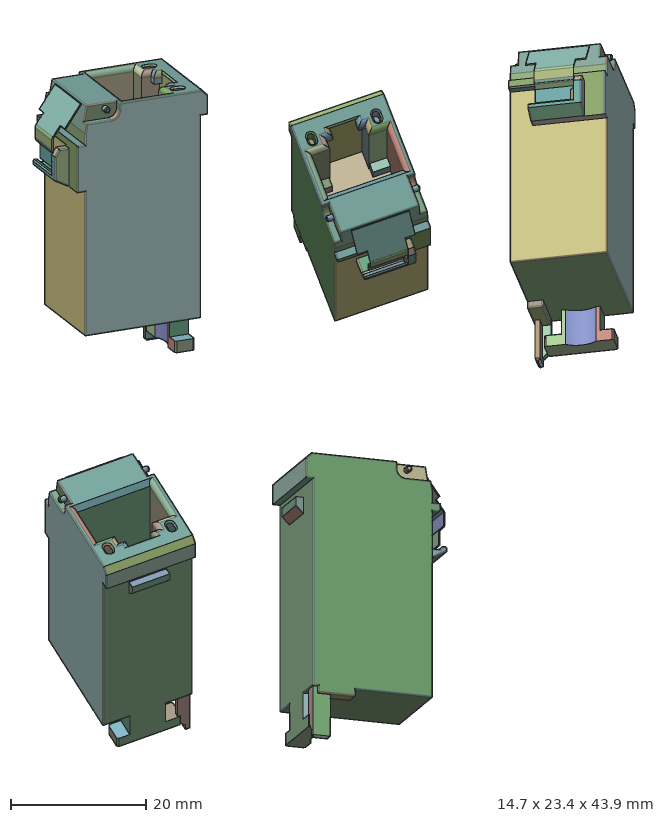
import cadquery as cq
import math


width = 14.7
half_width = width / 2
depth = 18.8
height = 35.95
edge_round = 0.18
tolerance = 0.05
overlap = 0.2
overrun = 0.45

lip_reach = 1.15
lip_height = 4.0
lip_chamfer = 0.95
catch_width = 6.15
catch_top = 30.25
catch_side = 1.35

slope_setback = 0.7
slope_height = 4.0

plug_half_width = 5.95
plug_front = 7.0
plug_back = 13.85
key_half_width = 3.05
key_back = 15.45
inner_key_half_width = 2.0
inner_key_back = 16.75
inner_key_rim = 0.25
inner_key_height = 1.75
mouth_round = 0.85
mouth_slope = 0.8
plug_depth = 15.35
shelf_depth = 13.15
shelf_reach = 1.45
shelf_inner_x = 3.2

slot_x = 5.15
slot_y = 16.05
slot_width = 1.0
slot_length = 1.8
slot_chamfer = 0.25
slot_depth = 2.65

recess_wall_x = 6.25
recess_back = 5.6
recess_floor = 33.5
recess_corner = 1.4
pin_y = 3.7
pin_z = 35.1
pin_diameter = 0.9
pin_chamfer = 0.18

ledge_top = 30.18
ledge_bottom = 28.85
ledge_reach = 1.25
ledge_edge = 0.2
block_bottom = 22.8

latch_reach = 3.45
bracket_left = -3.95
bracket_right = 4.2
bracket_edge = 0.2
bar_top = 24.15
bar_lip_top = 24.7
bar_lip_depth = 0.65
bar_slope_start = 1.35
bar_slope_top = 23.95
post_left = 3.0
post_slope_bottom = 27.75
post_slope_depth = 0.7
tab_reach = 0.55
tab_bottom = bar_lip_top
tab_top = 26.6

clip_thickness = 0.25
clip_start = 35.7
clip_start_y = 0.5
clip_wide_half = 4.55
clip_narrow_half = 3.0
clip_shoulder = 32.15
clip_bend = 30.25
clip_fold_top = 28.1
clip_fold = 0.8
clip_bend_round = 0.88
clip_end = 25.1

foot_width = 2.4
foot_front = 12.1
foot_back = 18.0
foot_height = 1.1
foot_edge = 0.2
leg_left = -6.97
leg_right = -6.25
leg_front = 15.95
leg_back = 18.7
leg_length = 7.9
leg_point = 0.35
flange_right = -4.95
flange_thickness = 0.8
flange_length = 6.55
tongue_front = 15.7
tongue_half_width = 2.95
tongue_length = 5.88
crossbar_left = -5.53
crossbar_right = 5.0
crossbar_height = 1.85
crossbar_edge = 0.25
groove_half_width = 2.32
groove_depth = 0.7


def box(x, y, z):
    """Box between the given (low, high) pairs on each axis."""
    size = [high - low for low, high in (x, y, z)]
    return cq.Workplane("XY").box(*size, centered=False).translate((x[0], y[0], z[0]))


def prism(profile, x_low, x_high):
    """Extrude a (Y, Z) profile along X."""
    return cq.Workplane("YZ", origin=(x_low, 0, 0)).polyline(profile).close().extrude(x_high - x_low)


def both_sides(shape):
    return shape.union(shape.mirror("YZ"))


def recess_cutter():
    cutter = box(
        (recess_wall_x, half_width + overrun),
        (-overrun, recess_back),
        (recess_floor, height + overrun),
    )
    return cutter.edges("|X and >Y and <Z").fillet(recess_corner)


def recess_rim(side, y_range, z_range):
    """Select recess edges off the outer side face whose centres lie in the given ranges."""
    low = (side * (recess_wall_x - tolerance), y_range[0] - tolerance, z_range[0] - tolerance)
    high = (side * (half_width - tolerance), y_range[1] + tolerance, z_range[1] + tolerance)
    return cq.selectors.BoxSelector(low, high)


def housing():
    lip_back = depth + lip_reach
    profile = [
        (0, 0),
        (depth, 0),
        (depth, height - lip_height),
        (lip_back, height - lip_height),
        (lip_back, height - lip_chamfer),
        (lip_back - lip_chamfer, height),
        (slope_setback, height),
        (0, height - slope_height),
    ]
    body = prism(profile, -half_width, half_width)
    body = body.cut(both_sides(recess_cutter()))
    below_top = height - edge_round
    rims = body.faces("<X or >X").edges()
    rims = rims.add(body.edges("|X and <Z"))
    rims = rims.add(body.faces(">Z").edges("<Y"))
    for side in (-1, 1):
        rims = rims.add(body.edges(recess_rim(side, (0, recess_back), (height, height))))
        rims = rims.add(body.edges(recess_rim(side, (0, slope_setback), (recess_floor, below_top))))
    return rims.fillet(edge_round)


def catch():
    profile = [
        (depth - overlap, catch_top),
        (depth + lip_reach, catch_top),
        (depth + lip_reach, catch_top - catch_side),
        (depth, catch_top - catch_side - lip_reach),
        (depth - overlap, catch_top - catch_side - lip_reach),
    ]
    return prism(profile, -catch_width / 2, catch_width / 2)


def rim_edges(y_low, y_high):
    """Select mouth edges in the top face whose centres lie between two Y values."""
    low = (-plug_half_width - tolerance, y_low, height - tolerance)
    high = (plug_half_width + tolerance, y_high, height + tolerance)
    return cq.selectors.BoxSelector(low, high)


def cut_plug_opening(body):
    right_side = [
        (plug_half_width, plug_front),
        (plug_half_width, plug_back),
        (key_half_width, plug_back),
        (key_half_width, key_back),
        (inner_key_half_width, key_back),
        (inner_key_half_width, inner_key_back),
    ]
    left_side = [(-x, y) for x, y in reversed(right_side)]
    cavity = (
        cq.Workplane("XY", origin=(0, 0, height - plug_depth))
        .polyline(right_side + left_side)
        .close()
        .extrude(plug_depth)
    )
    for side in (-1, 1):
        x_range = sorted((side * shelf_inner_x, side * plug_half_width))
        y_range = (plug_back - shelf_reach, plug_back)
        shelf = box(x_range, y_range, (height - plug_depth, height - shelf_depth))
        cavity = cavity.cut(shelf)
    key_x = (-key_half_width, key_half_width)
    undercut = box(key_x, (plug_back, inner_key_back), (height - plug_depth, height - inner_key_height))
    body = body.cut(cavity).cut(undercut)
    rounded = rim_edges(plug_front + tolerance, inner_key_back - tolerance)
    body = body.edges(rounded).fillet(mouth_round)
    front_edge = rim_edges(plug_front - tolerance, plug_front + tolerance)
    body = body.edges(front_edge).chamfer(mouth_slope)
    back_edge = rim_edges(inner_key_back - tolerance, inner_key_back + tolerance)
    return body.edges(back_edge).chamfer(inner_key_rim)


def cut_indicator_slots(body):
    centres = [(-slot_x, slot_y), (slot_x, slot_y)]
    top = cq.Workplane("XY", origin=(0, 0, height)).pushPoints(centres)
    slots = top.slot2D(slot_length, slot_width, 90).extrude(-slot_depth)
    rims = top.slot2D(slot_length + 2 * slot_chamfer, slot_width + 2 * slot_chamfer, 90)
    rims = rims.extrude(-slot_chamfer, taper=45)
    return body.cut(slots).cut(rims)


def pins():
    pin = (
        cq.Workplane("YZ", origin=(recess_wall_x - overlap, pin_y, pin_z))
        .circle(pin_diameter / 2)
        .extrude(half_width - recess_wall_x + overlap)
        .faces(">X")
        .chamfer(pin_chamfer)
    )
    return both_sides(pin)


def ledge():
    bar = box((-half_width, half_width), (-ledge_reach, overlap), (ledge_bottom, ledge_top))
    bar = bar.edges("|X and <Y and <Z").chamfer(ledge_edge)
    block = box((post_left, half_width), (-ledge_reach, overlap), (block_bottom, ledge_top))
    rail = bar.union(block)
    return rail.faces("<X or >X").edges("not >Y").fillet(edge_round)


def bracket():
    lip_back = -latch_reach + bar_lip_depth
    bar_profile = [
        (overlap, block_bottom),
        (-bar_slope_start, block_bottom),
        (-latch_reach, bar_slope_top),
        (-latch_reach, bar_lip_top - bracket_edge),
        (-latch_reach + bracket_edge, bar_lip_top),
        (lip_back, bar_lip_top),
        (lip_back + bar_lip_top - bar_top, bar_top),
        (overlap, bar_top),
    ]
    bar = prism(bar_profile, bracket_left, bracket_right)
    post_profile = [
        (overlap, block_bottom),
        (-bar_slope_start, block_bottom),
        (-latch_reach, bar_slope_top),
        (-latch_reach, post_slope_bottom),
        (-latch_reach + post_slope_depth, ledge_bottom),
        (overlap, ledge_bottom),
    ]
    post = prism(post_profile, post_left, bracket_right)
    tab = (
        cq.Workplane("XY", origin=(0, 0, tab_bottom - overlap))
        .moveTo(post_left, -latch_reach)
        .lineTo(post_left, -latch_reach + tab_reach)
        .lineTo(post_left - tab_reach, -latch_reach + tab_reach)
        .close()
        .extrude(tab_top - tab_bottom + overlap)
    )
    frame = bar.union(post)
    frame = frame.faces("<X or >X").edges("not >Y").fillet(bracket_edge)
    return frame.union(tab)


def clip():
    slope_run = clip_start_y + latch_reach
    slope_drop = clip_start - clip_bend
    shoulder_y = clip_start_y - slope_run * (clip_start - clip_shoulder) / slope_drop
    slope_angle = math.atan2(slope_run, slope_drop)
    outer = [
        (clip_start_y, clip_start),
        (-latch_reach, clip_bend),
        (-latch_reach, clip_fold_top),
        (-latch_reach + clip_fold, clip_fold_top - clip_fold),
        (-latch_reach + clip_fold, clip_end),
    ]
    inner = [(y + clip_thickness, z) for y, z in reversed(outer)]
    tail = prism(outer + inner, -clip_narrow_half, clip_narrow_half)
    tail = tail.faces("<Y").edges("|X").fillet(clip_bend_round)
    square_cut = clip_thickness * math.cos(slope_angle)
    inner_y = shoulder_y + square_cut * math.cos(slope_angle)
    inner_z = clip_shoulder - square_cut * math.sin(slope_angle)
    plate_profile = [
        (clip_start_y, clip_start),
        (shoulder_y, clip_shoulder),
        (inner_y, inner_z),
        (clip_start_y + clip_thickness, clip_start),
    ]
    plate = prism(plate_profile, -clip_wide_half, clip_wide_half)
    return tail.union(plate)


def foot():
    block = box(
        (-half_width, -half_width + foot_width),
        (foot_front, foot_back),
        (-foot_height, edge_round),
    )
    return block.edges("|Z or <Z").fillet(foot_edge)


def leg():
    plate = box((leg_left, leg_right), (leg_front, leg_back), (-leg_length, overlap))
    plate = plate.faces("<Z").edges().chamfer(leg_point)
    flange_drop = flange_right - leg_right
    flange = (
        cq.Workplane("XZ", origin=(0, leg_back, 0))
        .moveTo(leg_right - overlap, overlap)
        .lineTo(flange_right, overlap)
        .lineTo(flange_right, -flange_length + flange_drop)
        .lineTo(leg_right, -flange_length)
        .lineTo(leg_right - overlap, -flange_length)
        .close()
        .extrude(flange_thickness)
    )
    return plate.union(flange)


def tongue():
    y_range = (tongue_front, depth)
    stem = box((-tongue_half_width, tongue_half_width), y_range, (-tongue_length, overlap))
    crossbar_z = (-tongue_length, crossbar_height - tongue_length)
    crossbar = box((crossbar_left, crossbar_right), y_range, crossbar_z)
    crossbar = crossbar.edges("|Z").chamfer(crossbar_edge)
    groove = (
        cq.Workplane("XY", origin=(0, 0, -tongue_length))
        .moveTo(-groove_half_width, tongue_front)
        .threePointArc((0, tongue_front + groove_depth), (groove_half_width, tongue_front))
        .close()
        .extrude(tongue_length)
    )
    return stem.union(crossbar).cut(groove)


result = housing()
result = cut_plug_opening(result)
result = cut_indicator_slots(result)
for piece in (catch(), pins(), ledge(), bracket(), clip(), foot(), leg(), tongue()):
    result = result.union(piece)